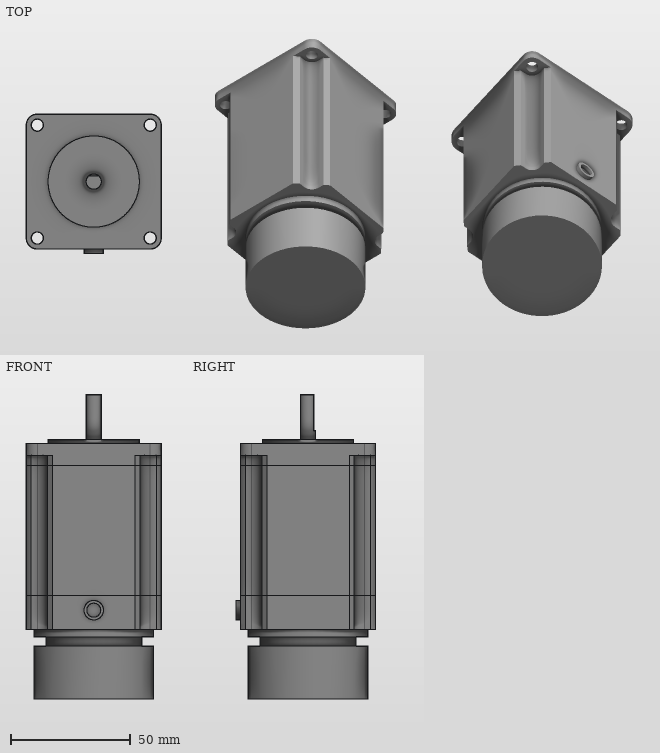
import cadquery as cq
import math

DRUM_TOP = 22.1
NECK_TOP = 25.9
HOUSING_BOTTOM = 29.0
STATOR_BOTTOM = 43.2
STATOR_TOP = 97.6
FLANGE_BOTTOM = 101.8
FLANGE_TOP = 106.8
PILOT_TOP = 108.3
SHAFT_FLAT_BOTTOM = 112.1
SHAFT_TOP = 127.1

HOUSING_WIDTH = 56.4
HALF_WIDTH = HOUSING_WIDTH / 2
BOLT_SPACING = 47.2
BOLT_OFFSET = BOLT_SPACING / 2
BOLT_HOLE_DIAMETER = 5.0
FLANGE_CORNER_RADIUS = HALF_WIDTH - BOLT_OFFSET

CHANNEL_RADIUS = 4.3
CHANNEL_CHAMFER = 2.0

PILOT_DIAMETER = 38.1
SHAFT_RADIUS = 3.2
SHAFT_FLAT_OFFSET = 2.4
DRUM_RADIUS = 25.0
NECK_RADIUS = 20.1

BUSHING_OUTER_RADIUS = 4.1
BUSHING_INNER_RADIUS = 2.9
BUSHING_LENGTH = 1.9
BUSHING_HEIGHT = 37.1


def make_corner_channel(bottom, top):
    """Cutter for the +X +Y corner: a round-bottomed channel with chamfered mouths."""
    wall = BOLT_OFFSET - CHANNEL_RADIUS
    chamfer_start = HALF_WIDTH - CHANNEL_CHAMFER
    mouth = wall - CHANNEL_CHAMFER
    arc_middle = BOLT_OFFSET - CHANNEL_RADIUS * math.sqrt(0.5)
    return (
        cq.Workplane("XY", origin=(0, 0, bottom))
        .moveTo(mouth, HALF_WIDTH)
        .lineTo(wall, chamfer_start)
        .lineTo(wall, BOLT_OFFSET)
        .threePointArc((arc_middle, arc_middle), (BOLT_OFFSET, wall))
        .lineTo(chamfer_start, wall)
        .lineTo(HALF_WIDTH, mouth)
        .lineTo(HALF_WIDTH, HALF_WIDTH)
        .close()
        .extrude(top - bottom)
    )


def make_square_block(bottom, top):
    """Plain square block of the housing section."""
    return (
        cq.Workplane("XY", origin=(0, 0, bottom))
        .rect(HOUSING_WIDTH, HOUSING_WIDTH)
        .extrude(top - bottom)
    )


def make_housing_section(bottom, top):
    """Square block with a channel along each of its four corners."""
    section = make_square_block(bottom, top)
    channel = make_corner_channel(bottom, top)
    for corner in range(4):
        section = section.cut(channel.rotate((0, 0, 0), (0, 0, 1), 90 * corner))
    return section


def make_front_cover():
    """Channelled base, mounting flange with bolt holes, and locating pilot."""
    flange = (
        make_square_block(FLANGE_BOTTOM, FLANGE_TOP)
        .edges("|Z")
        .fillet(FLANGE_CORNER_RADIUS)
        .faces(">Z")
        .workplane()
        .rect(BOLT_SPACING, BOLT_SPACING, forConstruction=True)
        .vertices()
        .hole(BOLT_HOLE_DIAMETER)
    )
    pilot = (
        cq.Workplane("XY", origin=(0, 0, FLANGE_TOP))
        .circle(PILOT_DIAMETER / 2)
        .extrude(PILOT_TOP - FLANGE_TOP)
    )
    return make_housing_section(STATOR_TOP, FLANGE_BOTTOM).union(flange).union(pilot)


def make_stator():
    """Middle section of the motor housing."""
    return make_housing_section(STATOR_BOTTOM, STATOR_TOP)


def make_rear_cover():
    """Lower section of the motor housing."""
    return make_housing_section(HOUSING_BOTTOM, STATOR_BOTTOM)


def make_shaft():
    """Output shaft standing on the pilot, with a flat on its +Y side."""
    shaft = (
        cq.Workplane("XY", origin=(0, 0, PILOT_TOP))
        .circle(SHAFT_RADIUS)
        .extrude(SHAFT_TOP - PILOT_TOP)
    )
    flat_cutter = cq.Workplane("XY").box(
        2 * SHAFT_RADIUS,
        SHAFT_RADIUS,
        SHAFT_TOP - SHAFT_FLAT_BOTTOM,
        centered=(True, False, False),
    )
    return shaft.cut(flat_cutter.translate((0, SHAFT_FLAT_OFFSET, SHAFT_FLAT_BOTTOM)))


def make_rear_drum():
    """Round drum with a narrower neck and a collar against the rear cover."""
    return (
        cq.Workplane("XY")
        .circle(DRUM_RADIUS)
        .extrude(DRUM_TOP)
        .faces(">Z")
        .workplane()
        .circle(NECK_RADIUS)
        .extrude(NECK_TOP - DRUM_TOP)
        .faces(">Z")
        .workplane()
        .circle(DRUM_RADIUS)
        .extrude(HOUSING_BOTTOM - NECK_TOP)
    )


def make_cable_bushing():
    """Short ring standing out from the -Y face of the rear cover."""
    return (
        cq.Workplane("XZ", origin=(0, -HALF_WIDTH, BUSHING_HEIGHT))
        .circle(BUSHING_OUTER_RADIUS)
        .circle(BUSHING_INNER_RADIUS)
        .extrude(BUSHING_LENGTH)
    )


front_cover = make_front_cover()
stator = make_stator()
rear_cover = make_rear_cover()
shaft = make_shaft()
rear_drum = make_rear_drum()
cable_bushing = make_cable_bushing()

result = cq.Compound.makeCompound([
    front_cover.val(),
    stator.val(),
    rear_cover.val(),
    shaft.val(),
    rear_drum.val(),
    cable_bushing.val(),
])